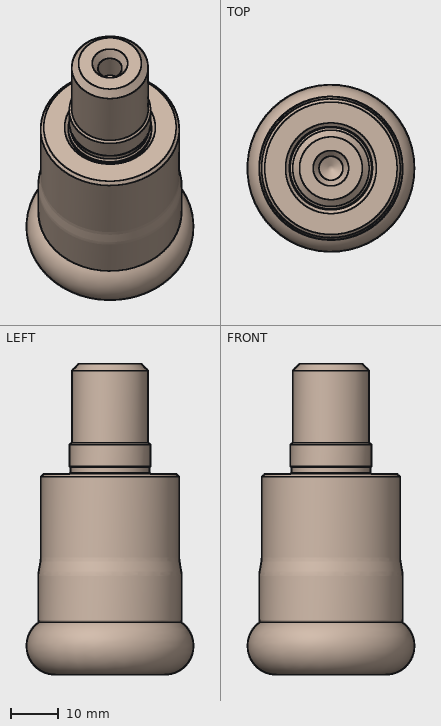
import cadquery as cq
import math

TOTAL_HEIGHT = 65.0
KNOB_DIAMETER = 35.0
EDGE_BOX = 39.0

KNOB_ROUND = 6.05
UNDERCUT = 0.1
UNDERCUT_TOP = 11.45
LOWER_SLEEVE_RADIUS = 30.0 / 2
UPPER_SLEEVE_RADIUS = 29.0 / 2
SLEEVE_TOP = 42.0
SLEEVE_CHAMFER = 0.65
TAPER_BOTTOM = 21.1
TAPER_ANGLE = 10.0
TAPER_BLEND = 5.0
MOUTH_RADIUS = 9.5

PIN_RADIUS = 16.0 / 2
COLLAR_RADIUS = 17.0 / 2
NECK_RADIUS = 16.6 / 2
SHANK_RADIUS = 8.7
SHANK_TOP = 42.2
SHANK_CHAMFER = SHANK_RADIUS - NECK_RADIUS
PIN_CHAMFER = 1.4
COLLAR_TOP = 48.5
COLLAR_BOTTOM = 43.35
COLLAR_CHAMFER = 0.4
COLLAR_LOWER_CHAMFER = COLLAR_RADIUS - NECK_RADIUS
SEAT_DEPTH = 19.5
SEAT_Z = SLEEVE_TOP - SEAT_DEPTH

MOUTH_DEPTH = MOUTH_RADIUS - SHANK_RADIUS

DRILL_RADIUS = 5.0 / 2
COUNTERSINK_RADIUS = 3.7
COUNTERSINK_DEPTH = 1.7
DRILL_DEPTH = 7.8
DRILL_POINT_ANGLE = 120.0


def revolve_profile(profile):
    """Close an XZ profile and revolve it around the Z axis."""
    return profile.close().revolve(360, (0, 0, 0), (0, 1, 0))


def circular_edges_at(body, height):
    """Select the circular edges centred on the axis at one height."""
    half = EDGE_BOX / 2
    tolerance = 0.005
    selector = cq.selectors.BoxSelector(
        (-half, -half, height - tolerance),
        (half, half, height + tolerance),
    )
    return body.edges(selector)


def make_housing():
    rim_x = KNOB_DIAMETER / 2 - KNOB_ROUND
    joint_x = LOWER_SLEEVE_RADIUS - UNDERCUT
    joint_z = KNOB_ROUND + math.sqrt(KNOB_ROUND**2 - (joint_x - rim_x) ** 2)

    step = LOWER_SLEEVE_RADIUS - UPPER_SLEEVE_RADIUS
    taper_top = TAPER_BOTTOM + step / math.tan(math.radians(TAPER_ANGLE))

    profile = (
        cq.Workplane("XZ")
        .lineTo(rim_x, 0)
        .threePointArc((rim_x + KNOB_ROUND, KNOB_ROUND), (joint_x, joint_z))
        .lineTo(LOWER_SLEEVE_RADIUS, UNDERCUT_TOP)
        .lineTo(LOWER_SLEEVE_RADIUS, TAPER_BOTTOM)
        .lineTo(UPPER_SLEEVE_RADIUS, taper_top)
        .lineTo(UPPER_SLEEVE_RADIUS, SLEEVE_TOP - SLEEVE_CHAMFER)
        .lineTo(UPPER_SLEEVE_RADIUS - SLEEVE_CHAMFER, SLEEVE_TOP)
        .lineTo(MOUTH_RADIUS, SLEEVE_TOP)
        .lineTo(SHANK_RADIUS, SLEEVE_TOP - MOUTH_DEPTH)
        .lineTo(SHANK_RADIUS, SEAT_Z)
        .lineTo(0, SEAT_Z)
    )
    body = revolve_profile(profile)
    for height in (TAPER_BOTTOM, taper_top):
        body = circular_edges_at(body, height).fillet(TAPER_BLEND)
    return body


def make_tip_hole():
    drill_end = TOTAL_HEIGHT - DRILL_DEPTH
    point_length = DRILL_RADIUS / math.tan(math.radians(DRILL_POINT_ANGLE / 2))
    profile = (
        cq.Workplane("XZ")
        .moveTo(0, TOTAL_HEIGHT)
        .lineTo(COUNTERSINK_RADIUS, TOTAL_HEIGHT)
        .lineTo(DRILL_RADIUS, TOTAL_HEIGHT - COUNTERSINK_DEPTH)
        .lineTo(DRILL_RADIUS, drill_end)
        .lineTo(0, drill_end - point_length)
    )
    return revolve_profile(profile)


def make_plunger():
    profile = (
        cq.Workplane("XZ")
        .moveTo(0, SEAT_Z)
        .lineTo(SHANK_RADIUS, SEAT_Z)
        .lineTo(SHANK_RADIUS, SHANK_TOP - SHANK_CHAMFER)
        .lineTo(NECK_RADIUS, SHANK_TOP)
        .lineTo(NECK_RADIUS, COLLAR_BOTTOM)
        .lineTo(COLLAR_RADIUS, COLLAR_BOTTOM + COLLAR_LOWER_CHAMFER)
        .lineTo(COLLAR_RADIUS, COLLAR_TOP - COLLAR_CHAMFER)
        .lineTo(PIN_RADIUS, COLLAR_TOP)
        .lineTo(PIN_RADIUS, TOTAL_HEIGHT - PIN_CHAMFER)
        .lineTo(PIN_RADIUS - PIN_CHAMFER, TOTAL_HEIGHT)
        .lineTo(0, TOTAL_HEIGHT)
    )
    return revolve_profile(profile).cut(make_tip_hole())


housing = make_housing()
plunger = make_plunger()

result = cq.Compound.makeCompound([housing.val(), plunger.val()])